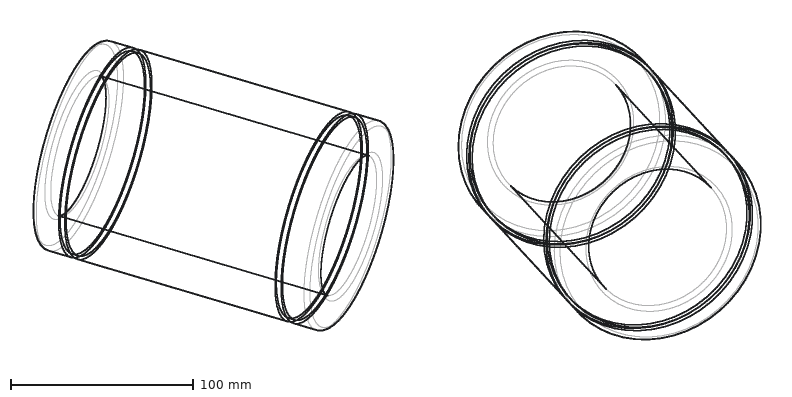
import cadquery as cq

length = 165.0
outer_diameter = 120.0
bore_diameter = 80.0
groove_diameter = 116.0
groove_width = 3.6
groove_end_distance = 16.0
edge_radius = 2.5


def cylinder(diameter, start_x, width):
    """Solid cylinder on the X axis, starting at start_x."""
    return cq.Workplane("YZ", origin=(start_x, 0, 0)).circle(diameter / 2).extrude(width)


body = cylinder(outer_diameter, -length / 2, length)
body = body.cut(cylinder(bore_diameter, -length / 2, length))
body = body.faces("<X or >X").edges().fillet(edge_radius)

left_groove_start = -length / 2 + groove_end_distance
right_groove_start = length / 2 - groove_end_distance - groove_width
for start_x in (left_groove_start, right_groove_start):
    groove_ring = cylinder(outer_diameter, start_x, groove_width)
    groove_ring = groove_ring.cut(cylinder(groove_diameter, start_x, groove_width))
    body = body.cut(groove_ring)

result = body